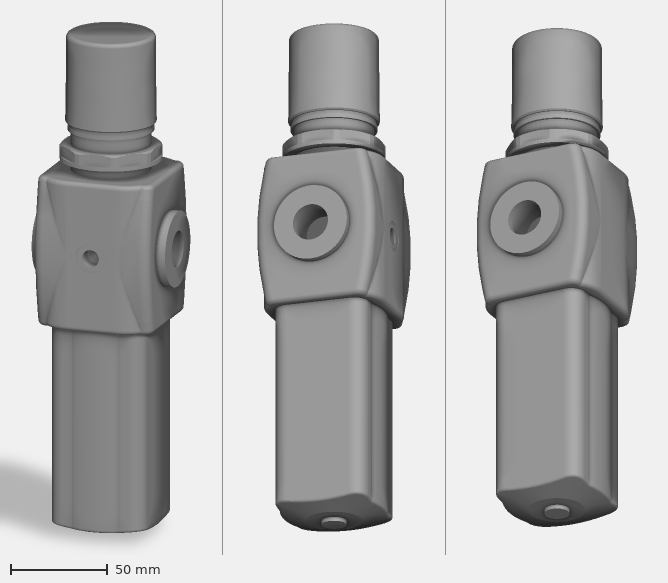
import cadquery as cq
import math

total_height = 266.0
housing_top = 193.3
housing_bottom = 113.5
housing_mid = (housing_top + housing_bottom) / 2
nut_top = 207.2
nut_bottom = 199.0
collar_bottom = 214.5
collar_top = 216.7
knob_bottom = 218.5

housing_width = 63.0
housing_depth = 65.0
front_half_width = 13.3
side_roll_radius = 18.5
bulge_radius = 150.8
bulge_half_height = 32.7
corner_radius = 5.0
housing_edge_radius = 2.5

port_diameter = 40.0
port_span = 73.0
port_hole_diameter = 19.1
port_hole_depth = 21.3
gauge_seat_diameter = 16.0
gauge_seat_depth = 0.3
gauge_hole_diameter = 9.0
gauge_hole_depth = 8.0
drill_point_angle = 118.0

bowl_width = 51.5
bowl_depth = 54.8
bowl_shoulder_depth = 50.5
bowl_corner_radius = 8.0
crown_half_width = 12.5
bowl_floor = 2.0
bowl_floor_radius = 14.5
bowl_floor_slope = 15.0
bowl_edge_radius = 1.3
drain_diameter = 13.0

neck_diameter = 42.0
collar_diameter = 45.0
groove_diameter = 44.1
knob_diameter = 47.3
knob_top_diameter = 46.3
knob_edge_radius = 2.0
knob_bottom_chamfer = 0.8

nut_flange_diameter = 53.0
nut_flange_height = 2.0
nut_across_flats = 50.0
nut_flat_count = 8
nut_chamfer_angle = 30.0


def disc(diameter, bottom, top):
    """Upright cylinder on the main axis."""
    return cq.Workplane("XY", origin=(0, 0, bottom)).circle(diameter / 2).extrude(top - bottom)


def front_outline_block():
    """Housing block whose front and back roll away on both sides of a flat strip."""
    half_width = housing_width / 2
    half_depth = housing_depth / 2

    def roll_drop(distance):
        return side_roll_radius - math.sqrt(side_roll_radius**2 - distance**2)

    reach = half_width - front_half_width
    middle_x = front_half_width + reach / 2
    middle_y = half_depth - roll_drop(reach / 2)
    side_y = half_depth - roll_drop(reach)
    return (
        cq.Workplane("XY", origin=(0, 0, housing_bottom))
        .moveTo(-front_half_width, half_depth)
        .lineTo(front_half_width, half_depth)
        .threePointArc((middle_x, middle_y), (half_width, side_y))
        .lineTo(half_width, -side_y)
        .threePointArc((middle_x, -middle_y), (front_half_width, -half_depth))
        .lineTo(-front_half_width, -half_depth)
        .threePointArc((-middle_x, -middle_y), (-half_width, -side_y))
        .lineTo(-half_width, side_y)
        .threePointArc((-middle_x, middle_y), (-front_half_width, half_depth))
        .close()
        .extrude(housing_top - housing_bottom)
        .faces("<Z or >Z")
        .edges()
        .fillet(housing_edge_radius)
    )


def bulged_block():
    """Barrel-shaped block, deepest at mid height, that fills out the housing corners."""
    half_depth = housing_depth / 2
    half_height = (housing_top - housing_bottom) / 2
    arc_rise = math.sqrt(bulge_radius**2 - bulge_half_height**2)
    arc_end_y = half_depth - (bulge_radius - arc_rise)
    end_slope = bulge_half_height / arc_rise
    top_y = arc_end_y - end_slope * (half_height - bulge_half_height)
    return (
        cq.Workplane("YZ", origin=(-housing_width / 2, 0, housing_mid))
        .moveTo(-top_y, half_height)
        .lineTo(top_y, half_height)
        .lineTo(arc_end_y, bulge_half_height)
        .threePointArc((half_depth, 0), (arc_end_y, -bulge_half_height))
        .lineTo(top_y, -half_height)
        .lineTo(-top_y, -half_height)
        .lineTo(-arc_end_y, -bulge_half_height)
        .threePointArc((-half_depth, 0), (-arc_end_y, bulge_half_height))
        .close()
        .extrude(housing_width)
        .edges("(<X or >X) and (not |Y)")
        .fillet(corner_radius)
        .faces("<Z or >Z")
        .edges()
        .fillet(housing_edge_radius)
    )


def make_housing_block():
    """Housing with rolled front and back faces and bulging corners."""
    rolled_width = housing_width - 2 * corner_radius
    roll_limit = cq.Workplane("XY", origin=(0, 0, housing_mid)).box(
        rolled_width, housing_depth, housing_top - housing_bottom
    )
    return bulged_block().union(front_outline_block().intersect(roll_limit))


def make_bowl():
    """Long bowl with crowned front and back strips and a sloping underside."""
    half_width = bowl_width / 2
    shoulder_y = bowl_shoulder_depth / 2
    crown_y = bowl_depth / 2
    core = (
        cq.Workplane("XY")
        .rect(bowl_width, bowl_shoulder_depth)
        .extrude(housing_bottom)
        .edges("|Z")
        .fillet(bowl_corner_radius)
    )
    crown = (
        cq.Workplane("XY")
        .moveTo(-crown_half_width, shoulder_y)
        .threePointArc((0, crown_y), (crown_half_width, shoulder_y))
        .lineTo(crown_half_width, -shoulder_y)
        .threePointArc((0, -crown_y), (-crown_half_width, -shoulder_y))
        .close()
        .extrude(housing_bottom)
    )
    reach = math.hypot(half_width, crown_y)
    rim_height = bowl_floor + (reach - bowl_floor_radius) * math.tan(math.radians(bowl_floor_slope))
    envelope = (
        cq.Workplane("XZ")
        .moveTo(0, bowl_floor)
        .lineTo(bowl_floor_radius, bowl_floor)
        .lineTo(reach, rim_height)
        .lineTo(reach, housing_bottom)
        .lineTo(0, housing_bottom)
        .close()
        .revolve(360, (0, 0, 0), (0, 1, 0))
    )
    bowl = core.union(crown).intersect(envelope)
    bowl = bowl.faces("%CONE").edges("not %CIRCLE").fillet(bowl_edge_radius)
    drain = disc(drain_diameter, 0, bowl_floor)
    return bowl.union(drain)


def make_knob_and_neck():
    neck = disc(neck_diameter, housing_top, collar_bottom)
    collar = disc(collar_diameter, collar_bottom, collar_top)
    groove = disc(groove_diameter, collar_top, knob_bottom)
    knob = (
        cq.Workplane("XZ")
        .moveTo(0, knob_bottom)
        .lineTo(knob_diameter / 2 - knob_bottom_chamfer, knob_bottom)
        .lineTo(knob_diameter / 2, knob_bottom + knob_bottom_chamfer)
        .lineTo(knob_top_diameter / 2, total_height)
        .lineTo(0, total_height)
        .close()
        .revolve(360, (0, 0, 0), (0, 1, 0))
        .faces(">Z")
        .edges()
        .fillet(knob_edge_radius)
    )
    return neck.union(collar).union(groove).union(knob)


def add_ports(body):
    """Round boss with a blind hole on each side face."""
    bosses = (
        cq.Workplane("YZ", origin=(-port_span / 2, 0, housing_mid))
        .circle(port_diameter / 2)
        .extrude(port_span)
    )
    body = body.union(bosses)
    for side in (-1, 1):
        hole = (
            cq.Workplane("YZ", origin=(side * port_span / 2, 0, housing_mid))
            .circle(port_hole_diameter / 2)
            .extrude(-side * port_hole_depth)
        )
        body = body.cut(hole)
    return body


def cut_gauge_hole(body):
    """Shallow round seat with a drilled hole in the front face."""
    face_y = -housing_depth / 2
    radius = gauge_hole_diameter / 2
    point_depth = radius / math.tan(math.radians(drill_point_angle / 2))
    tool = (
        cq.Workplane("XY", origin=(0, 0, housing_mid))
        .moveTo(0, face_y)
        .lineTo(gauge_seat_diameter / 2, face_y)
        .lineTo(gauge_seat_diameter / 2, face_y + gauge_seat_depth)
        .lineTo(radius, face_y + gauge_seat_depth)
        .lineTo(radius, face_y + gauge_hole_depth)
        .lineTo(0, face_y + gauge_hole_depth + point_depth)
        .close()
        .revolve(360, (0, 0, 0), (0, 1, 0))
    )
    return body.cut(tool)


def make_regulator():
    body = make_housing_block().union(make_bowl()).union(make_knob_and_neck())
    return cut_gauge_hole(add_ports(body))


def make_panel_nut():
    """Eight-sided ring with a round flange, sitting around the neck."""
    flange_radius = nut_flange_diameter / 2
    chamfer_radius = nut_across_flats / 2
    chamfer_drop = (flange_radius - chamfer_radius) * math.tan(math.radians(nut_chamfer_angle))
    corner_distance = nut_across_flats / math.cos(math.pi / nut_flat_count)
    chamfered_round = (
        cq.Workplane("XZ")
        .moveTo(0, nut_bottom)
        .lineTo(flange_radius, nut_bottom)
        .lineTo(flange_radius, nut_top - chamfer_drop)
        .lineTo(chamfer_radius, nut_top)
        .lineTo(0, nut_top)
        .close()
        .revolve(360, (0, 0, 0), (0, 1, 0))
    )
    flats = (
        cq.Workplane("XY", origin=(0, 0, nut_bottom))
        .transformed(rotate=(0, 0, 180 / nut_flat_count))
        .polygon(nut_flat_count, corner_distance)
        .extrude(nut_top - nut_bottom)
    )
    flange = disc(nut_flange_diameter, nut_bottom, nut_bottom + nut_flange_height)
    bore = disc(neck_diameter, nut_bottom, nut_top)
    return chamfered_round.intersect(flats).union(flange).cut(bore)


regulator = make_regulator().solids()
panel_nut = make_panel_nut().solids()
result = cq.Compound.makeCompound([regulator.val(), panel_nut.val()])